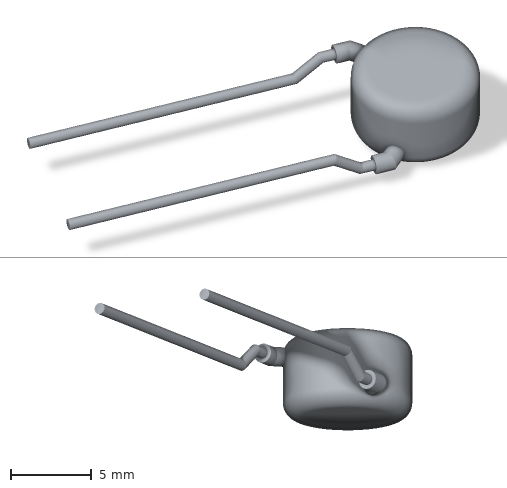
import cadquery as cq
import math

DISC_DIAMETER = 8.0
DISC_HEIGHT = 5.0
DISC_EDGE_RADIUS = 1.0

LEAD_DIAMETER = 0.7
LEAD_SPACING = 7.5
LEAD_ROOT_OFFSET_Z = 1.3
OVERALL_LENGTH = 28.0
FIRST_BEND_Y = -4.9
SECOND_BEND_Y = -6.6

SLEEVE_DIAMETER = 1.2
SLEEVE_ELBOW_Y = -3.0
SLEEVE_ANGLE = 45.0
SLEEVE_LEG_LENGTH = 2.52

DISC_RADIUS = DISC_DIAMETER / 2
LEAD_X = LEAD_SPACING / 2
SLEEVE_END_Y = -DISC_RADIUS
LEAD_TIP_Y = DISC_RADIUS - OVERALL_LENGTH

LEAD_SIDES = [(-1, 1), (1, -1)]


def make_round_rod(points, diameter):
    """Round rod along a chain of straight legs, with mitred corners."""
    start = cq.Vector(*points[0])
    direction = cq.Vector(*points[1]) - start
    path = cq.Workplane("XY").polyline(points)
    end_plane = cq.Plane(origin=start, normal=direction)
    return cq.Workplane(end_plane).circle(diameter / 2).sweep(path, transition="right")


def make_lead(side_x, side_z):
    """Wire that starts at the sleeve elbow and steps to mid-height before running straight."""
    x = side_x * LEAD_X
    root_z = side_z * LEAD_ROOT_OFFSET_Z
    points = [
        (x, SLEEVE_ELBOW_Y, root_z),
        (x, FIRST_BEND_Y, root_z),
        (x, SECOND_BEND_Y, 0),
        (x, LEAD_TIP_Y, 0),
    ]
    return make_round_rod(points, LEAD_DIAMETER)


def make_sleeve(side_x, side_z):
    """Elbow-shaped coating from inside the disc to the open end around the lead."""
    x = side_x * LEAD_X
    z = side_z * LEAD_ROOT_OFFSET_Z
    angle = math.radians(SLEEVE_ANGLE)
    inner_x = x - side_x * SLEEVE_LEG_LENGTH * math.cos(angle)
    inner_y = SLEEVE_ELBOW_Y + SLEEVE_LEG_LENGTH * math.sin(angle)
    points = [(inner_x, inner_y, z), (x, SLEEVE_ELBOW_Y, z), (x, SLEEVE_END_Y, z)]
    return make_round_rod(points, SLEEVE_DIAMETER)


def make_disc():
    """Round disc with both rims rounded."""
    disc = cq.Workplane("XY").cylinder(DISC_HEIGHT, DISC_RADIUS)
    return disc.faces("|Z").edges().fillet(DISC_EDGE_RADIUS)


leads = [make_lead(side_x, side_z) for side_x, side_z in LEAD_SIDES]

housing = make_disc()
for side_x, side_z in LEAD_SIDES:
    housing = housing.union(make_sleeve(side_x, side_z))
for lead in leads:
    housing = housing.cut(lead)

result = cq.Compound.makeCompound([housing.solids().val(), *[lead.val() for lead in leads]])